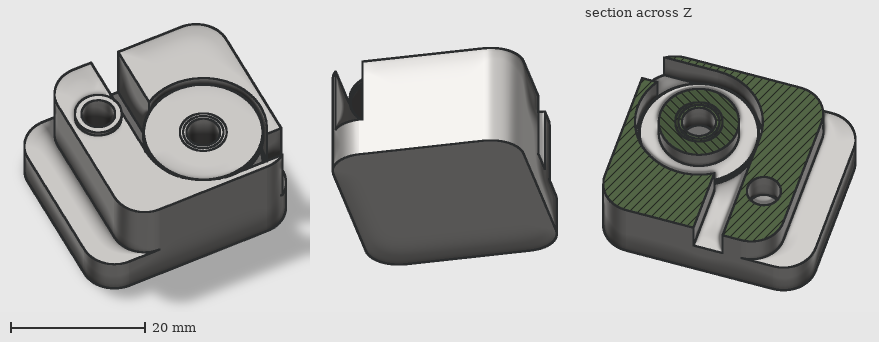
import cadquery as cq

WIDTH = 29.0
DEPTH = 33.0
BASE_HEIGHT = 6.0
BLOCK_HEIGHT = 10.0
LEDGE_DEPTH = 5.0
CORNER_RADIUS = 5.0

CAVITY_RADIUS = 9.5
CAVITY_WALL = 1.0
SLOT_WIDTH = 4.5

BOSS_DIAMETER = 7.0
BOSS_HEIGHT = 0.75
BOSS_FROM_LEFT = 9.5
BORE_DIAMETER = 5.0

FLANGE_DIAMETER = 18.0
HUB_DIAMETER = 12.0
FLANGE_THICKNESS = 1.0
FLANGE_CHAMFER = 0.15
PULLEY_CLEARANCE = 0.75
SLEEVE_DIAMETER = 7.0
SHAFT_DIAMETER = 6.0

LEFT = -WIDTH / 2
RIGHT = WIDTH / 2
FRONT = -DEPTH / 2
BACK = DEPTH / 2
BLOCK_TOP = BASE_HEIGHT + BLOCK_HEIGHT
PULLEY_X = RIGHT - CAVITY_WALL - CAVITY_RADIUS
PULLEY_Y = BACK - CAVITY_WALL - CAVITY_RADIUS
PULLEY_BOTTOM = BASE_HEIGHT + PULLEY_CLEARANCE
PULLEY_TOP = BLOCK_TOP - PULLEY_CLEARANCE
BOSS_X = LEFT + BOSS_FROM_LEFT
BOSS_Y = PULLEY_Y - CAVITY_RADIUS - BOSS_DIAMETER / 2


def box_between(x0, x1, y0, y1, z0, z1):
    return cq.Workplane("XY").box(x1 - x0, y1 - y0, z1 - z0, centered=False).translate((x0, y0, z0))


def cylinder(x, y, diameter, z0, z1):
    return cq.Workplane("XY", origin=(x, y, z0)).circle(diameter / 2).extrude(z1 - z0)


def pulley_cylinder(diameter, z0, z1):
    return cylinder(PULLEY_X, PULLEY_Y, diameter, z0, z1)


def make_housing():
    base = box_between(LEFT, RIGHT, FRONT, BACK, 0, BASE_HEIGHT)
    base = base.edges("|Z").fillet(CORNER_RADIUS)
    block = box_between(LEFT, RIGHT, FRONT + LEDGE_DEPTH, BACK, BASE_HEIGHT, BLOCK_TOP)
    block = block.edges("|Z").fillet(CORNER_RADIUS)
    boss = cylinder(BOSS_X, BOSS_Y, BOSS_DIAMETER, BLOCK_TOP, BLOCK_TOP + BOSS_HEIGHT)
    bore = cylinder(BOSS_X, BOSS_Y, BORE_DIAMETER, BASE_HEIGHT, BLOCK_TOP + BOSS_HEIGHT)

    cavity = pulley_cylinder(2 * CAVITY_RADIUS, BASE_HEIGHT, BLOCK_TOP)
    slot_front = PULLEY_Y - CAVITY_RADIUS
    left_slot = box_between(LEFT, PULLEY_X, slot_front, slot_front + SLOT_WIDTH, BASE_HEIGHT, BLOCK_TOP)
    slot_right = PULLEY_X + CAVITY_RADIUS
    back_slot = box_between(slot_right - SLOT_WIDTH, slot_right, PULLEY_Y, BACK, BASE_HEIGHT, BLOCK_TOP)

    block = block.cut(cavity).cut(left_slot).cut(back_slot)
    return base.union(block).union(boss).cut(bore)


def make_flange(bottom):
    flange = pulley_cylinder(FLANGE_DIAMETER, bottom, bottom + FLANGE_THICKNESS)
    return flange.edges().chamfer(FLANGE_CHAMFER)


def make_pulley():
    pulley = pulley_cylinder(HUB_DIAMETER, PULLEY_BOTTOM, PULLEY_TOP)
    for bottom in (PULLEY_BOTTOM, PULLEY_TOP - FLANGE_THICKNESS):
        pulley = pulley.union(make_flange(bottom))
    return pulley.cut(pulley_cylinder(SLEEVE_DIAMETER, PULLEY_BOTTOM, PULLEY_TOP))


def make_sleeve():
    sleeve = pulley_cylinder(SLEEVE_DIAMETER, PULLEY_BOTTOM, PULLEY_TOP)
    return sleeve.cut(pulley_cylinder(SHAFT_DIAMETER, PULLEY_BOTTOM, PULLEY_TOP))


def make_shaft():
    shaft = pulley_cylinder(SHAFT_DIAMETER, BASE_HEIGHT, PULLEY_TOP)
    return shaft.cut(pulley_cylinder(BORE_DIAMETER, BASE_HEIGHT, PULLEY_TOP))


housing = make_housing()
pulley = make_pulley()
sleeve = make_sleeve()
shaft = make_shaft()

result = cq.Compound.makeCompound([housing.val(), pulley.val(), sleeve.val(), shaft.val()])